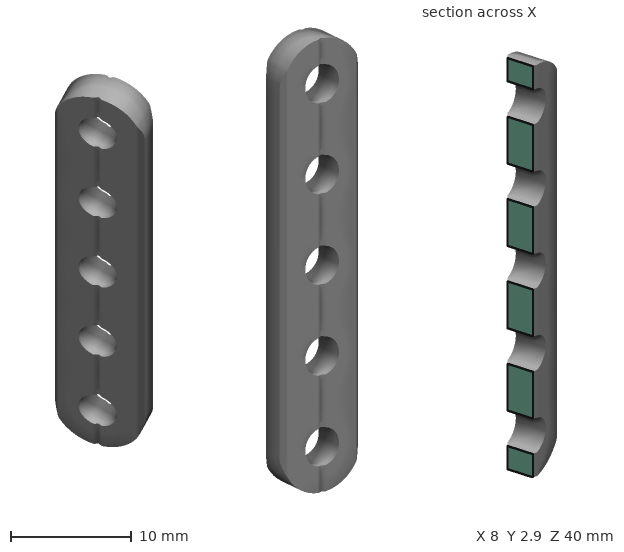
import cadquery as cq
import math

width = 8.0
thickness = 2.9
hole_count = 5
hole_pitch = 8.0
hole_diameter = 3.4
edge_chamfer = 0.5
bevel_radius = 0.25
groove_half_width = 0.36
groove_slope = 30.0
groove_radius = 0.15

length = hole_count * hole_pitch
half_length = length / 2
half_thickness = thickness / 2
groove_depth = groove_half_width * math.tan(math.radians(groove_slope))


def make_bar():
    """Bevelled, softened bar along Z, with its ends still square."""
    return (
        cq.Workplane("XY")
        .box(width, thickness, length)
        .edges("|Z")
        .chamfer(edge_chamfer)
        .edges("|Z")
        .fillet(bevel_radius)
    )


def make_groove(side):
    """V-shaped cutter along the middle of the face at Y = side * half_thickness."""
    face_y = side * half_thickness
    bottom_y = side * (half_thickness - groove_depth)
    return (
        cq.Workplane("XY")
        .workplane(offset=-half_length)
        .polyline([(-groove_half_width, face_y), (0, bottom_y), (groove_half_width, face_y)])
        .close()
        .extrude(length)
    )


def round_grooves(bar):
    """Round the bottom and both lips of each groove."""
    reach_x = 2 * groove_half_width
    groove_zone = cq.selectors.BoxSelector(
        (-reach_x, -thickness, -half_length),
        (reach_x, thickness, half_length),
    )
    long_edges = cq.selectors.ParallelDirSelector(cq.Vector(0, 0, 1))
    return bar.edges(long_edges & groove_zone).fillet(groove_radius)


def make_rounded_envelope():
    """Slot-shaped block that rounds the ends of the bar to full half circles."""
    return (
        cq.Workplane("XZ")
        .slot2D(length, width, angle=90)
        .extrude(half_thickness, both=True)
    )


def make_holes():
    """Row of evenly spaced cylinders through the thickness."""
    return (
        cq.Workplane("XZ")
        .rarray(hole_pitch, hole_pitch, 1, hole_count)
        .circle(hole_diameter / 2)
        .extrude(half_thickness, both=True)
    )


grooved_bar = make_bar()
for face_side in (-1, 1):
    grooved_bar = grooved_bar.cut(make_groove(face_side))

result = round_grooves(grooved_bar).intersect(make_rounded_envelope()).cut(make_holes())